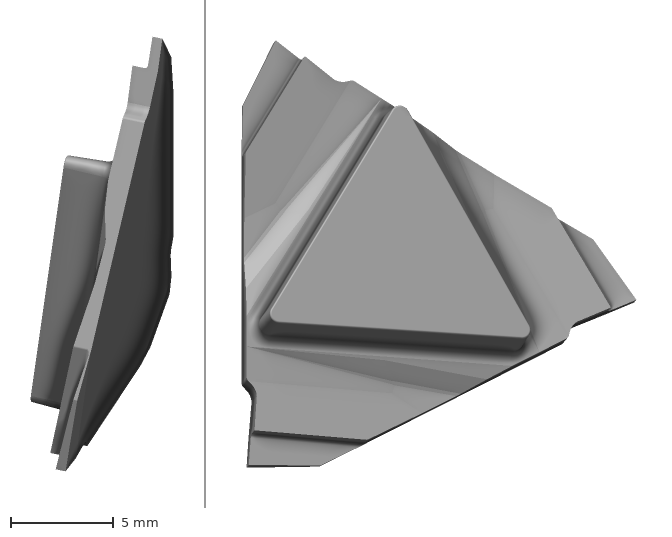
import cadquery as cq
import math

SECTOR_COUNT = 3
SECTOR_ANGLE = 360 / SECTOR_COUNT
EDGE_SLOPE = math.radians(30)

EDGE_DISTANCE = 7.1
CORE_HEIGHT = 1.1
BLANK_HEIGHT = 2.58
BOUNDING_SIZE = 64.6
SELECTION_MARGIN = 0.02

BOSS_TOP = 3.5
BOSS_INRADIUS = 4.07
BOSS_CORNER_RADIUS = 0.58
BOSS_DRAFT = 3.0
BOSS_TOP_FILLET = 0.09
BOSS_ROOT_FILLET = 0.45

CREASE_Y = -6.29
CREASE_END_X = 0.25
CREASE_END_HEIGHT = 0.6
FACET_END_X = 1.64
FACET_END_HEIGHT = 0.58
RIDGE_Y = -8.8
RIDGE_LEFT_HEIGHT = 1.3
STEP_FILLET = 0.15

TIP_LEFT = (-6.9, -10.38)
TIP_LEFT_HEIGHT = 0.62
TIP_STEP_HEIGHT = 0.54
TIP_RIGHT_X = -3.25
TIP_RIGHT_HEIGHT = 0.3
TIP_BACK_LIFT = 0.13

NOTCH_START = (-EDGE_DISTANCE, -6.11)
NOTCH_CORNER_MIDDLE = (-7.08, -6.2)
NOTCH_CORNER_END = (-7.02, -6.29)
NOTCH_HOLLOW_START = (-6.83, -6.48)
NOTCH_HOLLOW_MIDDLE = (-6.67, -6.72)
NOTCH_HOLLOW_END = (-6.6, -7.02)

VALLEY_START = (-EDGE_DISTANCE, -4.55)
VALLEY_KINK_Y = -5.75
VALLEY_END_X = 3.6
VALLEY_END_HEIGHT = 0.52
VALLEY_FLOOR_HALF_WIDTH = 0.09
VALLEY_FLOOR_RISE = 0.037
WALL_TOP_X = 6.14
WALL_BREAK_X = 4.9
WALL_BREAK_HEIGHT = 0.93
WALL_KINK = (-0.22, -4.78)
WALL_KINK_HEIGHT = 1.05


def on_lower_edge(x):
    """Point at x on the straight edge that runs down-left at 30 degrees."""
    return (x, x * math.tan(EDGE_SLOPE) - EDGE_DISTANCE / math.cos(EDGE_SLOPE))


def turned(point, angle):
    """Point rotated about the centre."""
    cosine = math.cos(math.radians(angle))
    sine = math.sin(math.radians(angle))
    return (point[0] * cosine - point[1] * sine, point[0] * sine + point[1] * cosine)


def at_height(point, height):
    return cq.Vector(point[0], point[1], height)


def below_plane(solid, a, b, c):
    """Keep the part of the solid under the plane through three points."""
    normal = (b - a).cross(c - a)
    if normal.z < 0:
        normal = -normal
    plane = cq.Plane(origin=a, xDir=b - a, normal=normal)
    return solid.intersect(cq.Workplane(plane).rect(BOUNDING_SIZE, BOUNDING_SIZE).extrude(-BOUNDING_SIZE))


def slab(depth_y, height):
    """Wide slab on the back plane, centred on the part."""
    return cq.Workplane("XY").rect(BOUNDING_SIZE, depth_y).extrude(height)


def sector_blank():
    """Outline of one sector, up to the blank height."""
    return (
        cq.Workplane("XY")
        .lineTo(*VALLEY_START)
        .lineTo(*NOTCH_START)
        .threePointArc(NOTCH_CORNER_MIDDLE, NOTCH_CORNER_END)
        .lineTo(*NOTCH_HOLLOW_START)
        .threePointArc(NOTCH_HOLLOW_MIDDLE, NOTCH_HOLLOW_END)
        .lineTo(*TIP_LEFT)
        .lineTo(*on_lower_edge(TIP_RIGHT_X))
        .lineTo(*turned(VALLEY_START, SECTOR_ANGLE))
        .close()
        .extrude(BLANK_HEIGHT)
    )


VALLEY_START_POINT = at_height(VALLEY_START, CORE_HEIGHT)
VALLEY_END_POINT = at_height(on_lower_edge(VALLEY_END_X), VALLEY_END_HEIGHT)
CREASE_END_POINT = at_height((CREASE_END_X, CREASE_Y), CREASE_END_HEIGHT)


def core_and_valley(blank):
    """Flat core falling gently, then over a kinked wall, to the narrow valley floor."""
    wall_top = at_height(on_lower_edge(WALL_TOP_X), CORE_HEIGHT)
    wall_break = at_height(on_lower_edge(WALL_BREAK_X), WALL_BREAK_HEIGHT)
    wall_kink = at_height(WALL_KINK, WALL_KINK_HEIGHT)
    valley_kink = at_height((CREASE_END_X, VALLEY_KINK_Y), CREASE_END_HEIGHT)

    flat_core = blank.intersect(slab(BOUNDING_SIZE, CORE_HEIGHT))
    core = below_plane(flat_core, VALLEY_START_POINT, wall_top, wall_break)
    shallow_wall = below_plane(core, VALLEY_START_POINT, wall_kink, valley_kink)
    deep_wall = below_plane(core, wall_kink, wall_break, VALLEY_END_POINT)

    to_wing = cq.Vector(0, -VALLEY_FLOOR_HALF_WIDTH, 0)
    to_wall = cq.Vector(0, VALLEY_FLOOR_HALF_WIDTH, VALLEY_FLOOR_RISE)
    floor_kink = (valley_kink + to_wing, valley_kink + to_wall)
    shallow_floor = below_plane(core, VALLEY_START_POINT, *floor_kink)
    deep_floor = below_plane(core, VALLEY_END_POINT + to_wing, *floor_kink)
    return shallow_wall.union(deep_wall).union(shallow_floor).union(deep_floor)


def wing(blank):
    """Inner facet, outer facet up to the ridge, and the corner facet at the right."""
    crease_left = at_height((-EDGE_DISTANCE, CREASE_Y), CORE_HEIGHT)
    ridge_left = at_height((TIP_LEFT[0], RIDGE_Y), RIDGE_LEFT_HEIGHT)
    facet_end = at_height(on_lower_edge(FACET_END_X), FACET_END_HEIGHT)

    inner_facet = below_plane(blank, VALLEY_START_POINT, crease_left, CREASE_END_POINT)
    outer_facet = below_plane(blank, crease_left, CREASE_END_POINT, ridge_left)
    corner_facet = below_plane(blank, CREASE_END_POINT, facet_end, VALLEY_END_POINT)
    return inner_facet.union(outer_facet).union(corner_facet)


def tip(blank):
    """Thin sloping plate that carries on below the step."""
    return below_plane(
        blank,
        at_height(TIP_LEFT, TIP_LEFT_HEIGHT),
        at_height((TIP_LEFT[0], RIDGE_Y), TIP_STEP_HEIGHT),
        at_height(on_lower_edge(TIP_RIGHT_X), TIP_RIGHT_HEIGHT),
    )


def tip_back_relief():
    """Wedge under the tip, growing from nothing at the ridge line."""
    outer_y = TIP_LEFT[1]
    return (
        cq.Workplane("YZ")
        .polyline([(RIDGE_Y, 0), (outer_y, 0), (outer_y, TIP_BACK_LIFT)])
        .close()
        .extrude(EDGE_DISTANCE, both=True)
    )


def sector():
    """One third of the plate."""
    blank = sector_blank()
    inner_blank = blank.intersect(slab(-2 * RIDGE_Y, BLANK_HEIGHT))
    body = core_and_valley(inner_blank).union(wing(inner_blank)).union(tip(blank))

    step_root = cq.selectors.BoxSelector(
        (-EDGE_DISTANCE, RIDGE_Y - SELECTION_MARGIN, TIP_RIGHT_HEIGHT / 2),
        (0, RIDGE_Y + SELECTION_MARGIN, TIP_STEP_HEIGHT),
    )
    return body.edges(step_root).fillet(STEP_FILLET).cut(tip_back_relief())


def boss():
    """Drafted rounded triangle on the flat core, filleted at top and root."""
    corner_distance = 2 * BOSS_INRADIUS
    footprint = (
        cq.Workplane("XY")
        .polyline([
            point
            for k in range(SECTOR_COUNT)
            for point in (
                turned(VALLEY_START, k * SECTOR_ANGLE),
                turned(on_lower_edge(WALL_TOP_X), k * SECTOR_ANGLE),
            )
        ])
        .close()
        .extrude(BOSS_TOP)
    )
    triangle = (
        cq.Sketch()
        .polygon([turned((0, corner_distance), -k * SECTOR_ANGLE) for k in range(SECTOR_COUNT + 1)])
        .vertices()
        .fillet(BOSS_CORNER_RADIUS)
    )
    block = (
        cq.Workplane("XY", origin=(0, 0, CORE_HEIGHT))
        .placeSketch(triangle)
        .extrude(BOSS_TOP - CORE_HEIGHT, taper=BOSS_DRAFT)
        .faces(">Z").edges().fillet(BOSS_TOP_FILLET)
    )
    ground = slab(BOUNDING_SIZE, CORE_HEIGHT)
    around_root = cq.selectors.BoxSelector(
        (-corner_distance, -corner_distance, CORE_HEIGHT / 2),
        (corner_distance, corner_distance, CORE_HEIGHT + SELECTION_MARGIN),
    )
    rooted = ground.union(block).edges(around_root).fillet(BOSS_ROOT_FILLET)
    return rooted.intersect(footprint)


body = boss()
plate_sector = sector()
for k in range(SECTOR_COUNT):
    body = body.union(plate_sector.rotate((0, 0, 0), (0, 0, 1), k * SECTOR_ANGLE))

result = body.rotate((0, 0, 0), (0, 0, 1), -90).rotate((0, 0, 0), (0, 1, 0), -90)